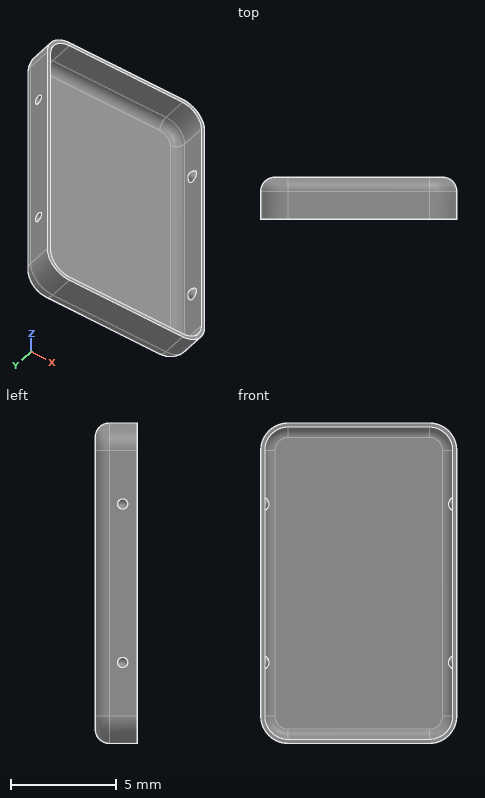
import cadquery as cq

WIDTH = 9.3
DEPTH = 2.0
HEIGHT = 15.2
WALL = 0.2
CORNER_RADIUS = 1.3
BACK_EDGE_RADIUS = 0.68

BUMP_RADIUS = 0.33
DIMPLE_RADIUS = 0.25
BUMP_CENTER_INSET = 0.06
BUMP_FROM_RIM = 0.7
BUMP_SPACING = 7.51

RIM_Y = -DEPTH / 2


def rounded_block(inset):
    """Solid block inside the outer shell by inset, with its front on the rim plane."""
    return (
        cq.Workplane("XZ", origin=(0, RIM_Y, 0))
        .rect(WIDTH - 2 * inset, HEIGHT - 2 * inset)
        .extrude(-(DEPTH - inset))
        .edges("|Y")
        .fillet(CORNER_RADIUS - inset)
        .faces(">Y")
        .edges()
        .fillet(BACK_EDGE_RADIUS - inset)
    )


def add_bump(tray, outer, center):
    """Raise one dome on the inner wall and hollow it from outside."""
    wall_normal = (1, 0, 0)
    dome = cq.Workplane("XY").sphere(BUMP_RADIUS, direct=wall_normal).translate(center)
    dimple = cq.Workplane("XY").sphere(DIMPLE_RADIUS, direct=wall_normal).translate(center)
    return tray.union(dome.intersect(outer)).cut(dimple)


outer = rounded_block(0)
result = outer.cut(rounded_block(WALL))

for side in (-1, 1):
    for end in (-1, 1):
        bump_center = (
            side * (WIDTH / 2 - BUMP_CENTER_INSET),
            RIM_Y + BUMP_FROM_RIM,
            end * BUMP_SPACING / 2,
        )
        result = add_bump(result, outer, bump_center)